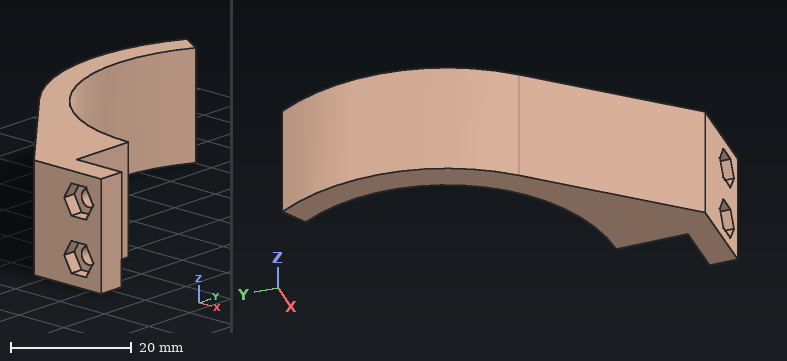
import cadquery as cq
import math

height = 20.0
length = 65.25

inner_radius = 30.0
wall = 5.0
outer_radius = inner_radius + wall
tip_angle = math.radians(150)

flange_reach = 10.05
heel_x = -wall
base_y = outer_radius * math.sin(tip_angle) - length

hole_diameter = 3.2
nut_across_corners = 6.5
nut_depth = 2.5
hole_x = flange_reach / 2
hole_spacing = height / 2


def polar(radius, angle):
    return (radius * math.cos(angle), radius * math.sin(angle))


def make_body():
    heel_distance = math.hypot(heel_x, base_y)
    heel_angle = math.atan2(base_y, heel_x) + 2 * math.pi
    tangent_angle = heel_angle - math.acos(outer_radius / heel_distance)
    inner_end_angle = math.radians(270)
    outer_mid_angle = (tip_angle + tangent_angle) / 2
    inner_mid_angle = (tip_angle + inner_end_angle) / 2
    return (
        cq.Workplane("XY")
        .moveTo(*polar(outer_radius, tip_angle))
        .threePointArc(polar(outer_radius, outer_mid_angle), polar(outer_radius, tangent_angle))
        .lineTo(heel_x, base_y)
        .lineTo(flange_reach, base_y)
        .lineTo(flange_reach, base_y + wall)
        .lineTo(0, base_y + wall)
        .lineTo(0, -inner_radius)
        .threePointArc(polar(inner_radius, inner_mid_angle), polar(inner_radius, tip_angle))
        .close()
        .extrude(height)
    )


def nut_hole_cutter(z):
    front_face = cq.Workplane("XZ", origin=(hole_x, base_y, z))
    hole = front_face.circle(hole_diameter / 2).extrude(-wall)
    nut_recess = front_face.polygon(6, nut_across_corners).extrude(-nut_depth)
    return hole.union(nut_recess)


result = make_body()
for side in (-1, 1):
    result = result.cut(nut_hole_cutter(height / 2 + side * hole_spacing / 2))